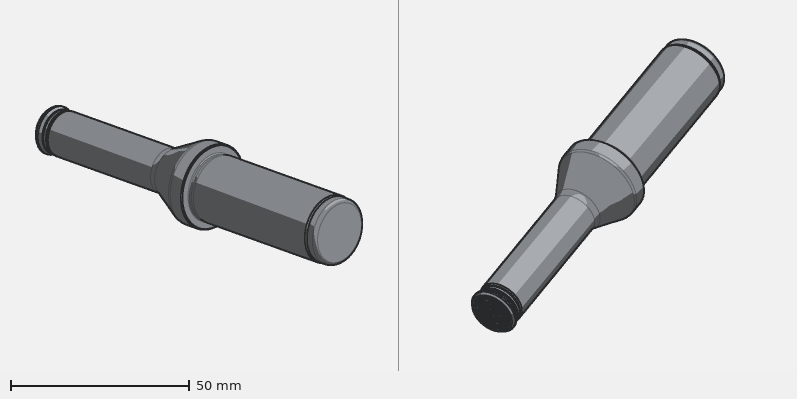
import cadquery as cq

TOTAL_LENGTH = 114.0

EDGE_SEARCH = 0.1

TIP_RADIUS = 7.1
TIP_FACE_RADIUS = 6.5
RIM_START = 0.8
RIM_END = 1.5
TIP_LENGTH = 2.6

CENTRE_FLAT_RADIUS = 0.2
GROOVE_COUNT = 6
GROOVE_PITCH = 1.0
GROOVE_WIDTH = 0.7
GROOVE_DEPTH = 0.3

STEM_RADIUS = 13.5 / 2
NECK_RADIUS = 6.5
NECK_STEP_RADIUS = 6.6
NECK_STEP_START = 2.8
NECK_STEP_END = 3.2
NECK_RELIEF_END = 4.2
STEM_BEVEL_START = 4.6
STEM_START = 5.1

COLLAR_RADIUS = 25.0 / 2
CONE_START = 46.9
CONE_END = 58.8
COLLAR_END = 64.0
COLLAR_CHAMFER = 0.3
CONE_FOOT_FILLET = 5.0
CONE_TOP_FILLET = 2.0

SHANK_RADIUS = 20.0 / 2
RELIEF_RADIUS = 19.5 / 2
RELIEF_ROOT_FILLET = 0.3
RELIEF_END = 65.0
SHANK_START = 66.0
SHANK_END = 110.2
TAIL_START = 110.9
TAIL_FILLET = 1.0


def revolve_about_x(profile):
    """Turn a closed profile, drawn as (X, radius), about the X axis."""
    return profile.close().revolve(360, (0, 0, 0), (1, 0, 0))


def fillet_circle(body, x, radius, fillet_radius):
    """Round the circular edge that passes through the point (x, radius)."""
    edge_box = cq.selectors.BoxSelector(
        (x - EDGE_SEARCH, -radius - EDGE_SEARCH, -radius - EDGE_SEARCH),
        (x + EDGE_SEARCH, radius + EDGE_SEARCH, radius + EDGE_SEARCH),
        boundingbox=True,
    )
    return body.edges(edge_box).fillet(fillet_radius)


def make_tip():
    tip = revolve_about_x(
        cq.Workplane("XY")
        .moveTo(0, 0)
        .lineTo(0, TIP_FACE_RADIUS)
        .lineTo(RIM_START, TIP_RADIUS)
        .lineTo(RIM_END, TIP_RADIUS)
        .lineTo(TIP_LENGTH, NECK_RADIUS)
        .lineTo(TIP_LENGTH, 0)
    )
    for index in range(GROOVE_COUNT):
        inner_radius = CENTRE_FLAT_RADIUS + index * GROOVE_PITCH
        groove = revolve_about_x(
            cq.Workplane("XY")
            .moveTo(0, inner_radius)
            .lineTo(GROOVE_DEPTH, inner_radius + GROOVE_WIDTH / 2)
            .lineTo(0, inner_radius + GROOVE_WIDTH)
        )
        tip = tip.cut(groove)
    return tip


def make_holder():
    holder = revolve_about_x(
        cq.Workplane("XY")
        .moveTo(TIP_LENGTH, 0)
        .lineTo(TIP_LENGTH, NECK_RADIUS)
        .lineTo(NECK_STEP_START, NECK_RADIUS)
        .lineTo(NECK_STEP_END, NECK_STEP_RADIUS)
        .lineTo(NECK_RELIEF_END, NECK_STEP_RADIUS)
        .lineTo(NECK_RELIEF_END, NECK_RADIUS)
        .lineTo(STEM_BEVEL_START, NECK_RADIUS)
        .lineTo(STEM_START, STEM_RADIUS)
        .lineTo(CONE_START, STEM_RADIUS)
        .lineTo(CONE_END, COLLAR_RADIUS)
        .lineTo(COLLAR_END - COLLAR_CHAMFER, COLLAR_RADIUS)
        .lineTo(COLLAR_END, COLLAR_RADIUS - COLLAR_CHAMFER)
        .lineTo(COLLAR_END, RELIEF_RADIUS)
        .lineTo(RELIEF_END, RELIEF_RADIUS)
        .lineTo(SHANK_START, SHANK_RADIUS)
        .lineTo(SHANK_END, SHANK_RADIUS)
        .lineTo(TAIL_START, RELIEF_RADIUS)
        .lineTo(TOTAL_LENGTH, RELIEF_RADIUS)
        .lineTo(TOTAL_LENGTH, 0)
    )
    holder = fillet_circle(holder, CONE_START, STEM_RADIUS, CONE_FOOT_FILLET)
    holder = fillet_circle(holder, CONE_END, COLLAR_RADIUS, CONE_TOP_FILLET)
    holder = fillet_circle(holder, COLLAR_END, RELIEF_RADIUS, RELIEF_ROOT_FILLET)
    return fillet_circle(holder, TOTAL_LENGTH, RELIEF_RADIUS, TAIL_FILLET)


tip = make_tip()
holder = make_holder()
result = cq.Compound.makeCompound([tip.val(), holder.val()])